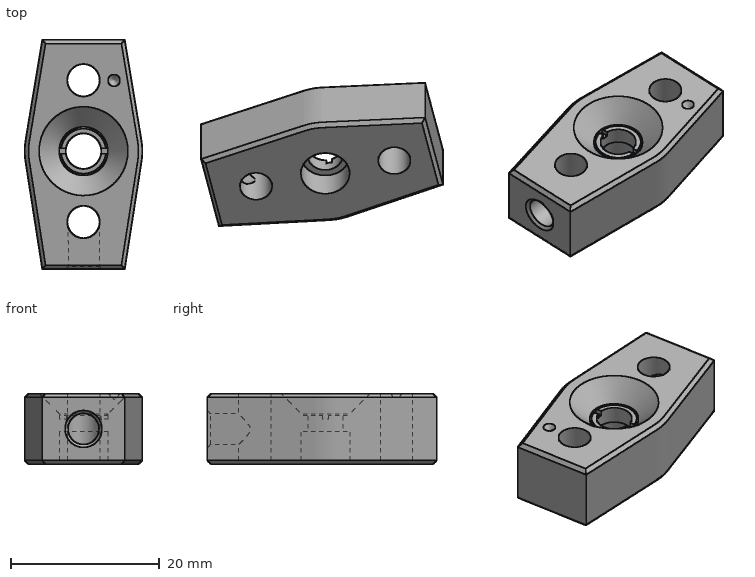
import cadquery as cq
import math

width = 15.86
height = 9.525
front_end_y = -15.875
back_end_y = 14.985
end_width = 11.1
edge_chamfer = 0.53

mount_hole_diameter = 4.32
mount_hole_offset = 9.525

cone_top_diameter = 11.95
seat_diameter = 6.54
ring_bore_diameter = 4.75
ring_height = 2.4
ring_chamfer = 0.25
slot_width = 0.76
slot_depth = 0.7

end_hole_diameter = 4.17
end_hole_mouth_diameter = 4.97

dimple_diameter = 1.6
dimple_x = 4.1
dimple_y = 9.5

top_z = height / 2
bottom_z = -height / 2
round_radius = width / 2
cone_depth = (cone_top_diameter - seat_diameter) / 2
ring_top_z = top_z - cone_depth
ring_bottom_z = ring_top_z - ring_height


def tangent_point(corner_x, corner_y):
    """Point where the line from an end corner (x > 0) touches the central round."""
    corner_angle = math.atan2(corner_y, corner_x)
    spread = math.acos(round_radius / math.hypot(corner_x, corner_y))
    angle = corner_angle - math.copysign(spread, corner_y)
    return round_radius * math.cos(angle), round_radius * math.sin(angle)


def cylinder(diameter, low_z, high_z, y=0):
    """Vertical cylinder on the plane X = 0."""
    return cq.Workplane("XY", origin=(0, y, low_z)).circle(diameter / 2).extrude(high_z - low_z)


def make_block():
    """Six-sided block whose tapered flanks blend into a round at the bore."""
    corner_x = end_width / 2
    front_x, front_y = tangent_point(corner_x, front_end_y)
    back_x, back_y = tangent_point(corner_x, back_end_y)
    outline = (
        cq.Workplane("XY", origin=(0, 0, bottom_z))
        .moveTo(-corner_x, front_end_y)
        .lineTo(corner_x, front_end_y)
        .lineTo(front_x, front_y)
        .threePointArc((round_radius, 0), (back_x, back_y))
        .lineTo(corner_x, back_end_y)
        .lineTo(-corner_x, back_end_y)
        .lineTo(-back_x, back_y)
        .threePointArc((-round_radius, 0), (-front_x, front_y))
        .close()
    )
    return outline.extrude(height).faces("<Z or >Z").chamfer(edge_chamfer)


def make_seat_cut():
    """Cone, ring bore and wider bore below the ring, revolved about Z."""
    ring_bore_radius = ring_bore_diameter / 2
    seat_radius = seat_diameter / 2
    profile = [
        (0, bottom_z),
        (seat_radius, bottom_z),
        (seat_radius, ring_bottom_z),
        (ring_bore_radius, ring_bottom_z),
        (ring_bore_radius, ring_top_z),
        (seat_radius - ring_chamfer, ring_top_z),
        (seat_radius, ring_top_z - ring_chamfer),
        (seat_radius, ring_top_z),
        (cone_top_diameter / 2, top_z),
        (0, top_z),
    ]
    return cq.Workplane("XZ").polyline(profile).close().revolve(360, (0, 0), (0, 1))


def make_slot_cut():
    """Screwdriver slot across the ring along X, ending at the seat wall."""
    slot = cq.Workplane("XY", origin=(0, 0, ring_top_z - slot_depth))
    slot = slot.rect(seat_diameter, slot_width).extrude(slot_depth)
    return slot.intersect(cylinder(seat_diameter, ring_top_z - slot_depth, ring_top_z))


def make_end_hole_cut():
    """Front hole with a 45 degree countersunk mouth."""
    hole_radius = end_hole_diameter / 2
    mouth_radius = end_hole_mouth_diameter / 2
    profile = [
        (0, front_end_y),
        (mouth_radius, front_end_y),
        (hole_radius, front_end_y + mouth_radius - hole_radius),
        (hole_radius, -mount_hole_offset),
        (0, -mount_hole_offset),
    ]
    return cq.Workplane("XY").polyline(profile).close().revolve(360, (0, 0), (0, 1))


def make_dimple_cut():
    """Cone with 45 degree walls, point down."""
    radius = dimple_diameter / 2
    profile = [(0, 0), (radius, 0), (0, -radius)]
    cone = cq.Workplane("XZ").polyline(profile).close().revolve(360, (0, 0), (0, 1))
    return cone.translate((dimple_x, dimple_y, top_z))


result = make_block().cut(make_seat_cut()).cut(make_slot_cut())
for mount_hole_y in (-mount_hole_offset, mount_hole_offset):
    result = result.cut(cylinder(mount_hole_diameter, bottom_z, top_z, y=mount_hole_y))
result = result.cut(make_end_hole_cut()).cut(make_dimple_cut())